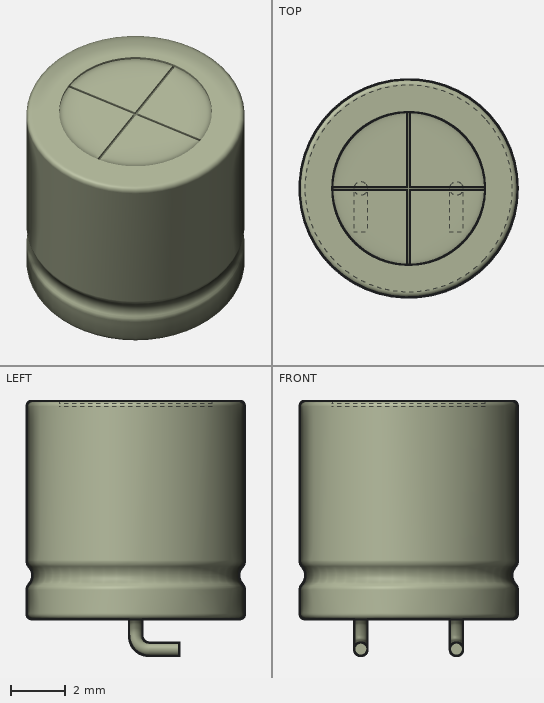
import cadquery as cq
import math

total_height = 9.35
can_diameter = 8.0
can_height = 8.0
can_radius = can_diameter / 2
rim_radius = 0.2

bead_height = 1.61
bead_half_width = 0.53
throat_radius = 0.5
lip_radius = 0.3

recess_diameter = 5.6
recess_depth = 0.1
score_width = 0.1
score_depth = 0.1

lead_diameter = 0.5
lead_spacing = 3.51
lead_reach = 1.6
bend_radius = 0.5
lead_drop = total_height - can_height - lead_diameter / 2


def make_can():
    """Solid can with rounded rims."""
    return cq.Workplane("XY").circle(can_radius).extrude(can_height).edges().fillet(rim_radius)


def make_bead_cutter():
    """Ring whose inner side is a throat arc tangent to two lip arcs."""
    angle = math.asin(bead_half_width / (throat_radius + lip_radius))
    lip_center = can_radius - lip_radius
    throat_center = lip_center + (throat_radius + lip_radius) * math.cos(angle)
    clear_radius = can_radius + throat_radius

    join_x = lip_center + lip_radius * math.cos(angle)
    join_z = bead_half_width - lip_radius * math.sin(angle)
    lip_mid_x = lip_center + lip_radius * math.cos(angle / 2)
    lip_mid_z = bead_half_width - lip_radius * math.sin(angle / 2)

    return (
        cq.Workplane("XZ", origin=(0, 0, bead_height))
        .moveTo(clear_radius, bead_half_width)
        .lineTo(can_radius, bead_half_width)
        .threePointArc((lip_mid_x, lip_mid_z), (join_x, join_z))
        .threePointArc((throat_center - throat_radius, 0), (join_x, -join_z))
        .threePointArc((lip_mid_x, -lip_mid_z), (can_radius, -bead_half_width))
        .lineTo(clear_radius, -bead_half_width)
        .close()
        .revolve(360, (0, 0, 0), (0, 1, 0))
    )


def make_vent_cutter():
    """Shallow round recess with a cross scored into its floor."""
    recess_floor = can_height - recess_depth
    recess = (
        cq.Workplane("XY", origin=(0, 0, recess_floor))
        .circle(recess_diameter / 2)
        .extrude(recess_depth)
    )
    score_plane = cq.Workplane("XY", origin=(0, 0, recess_floor - score_depth))
    score_total = recess_depth + score_depth
    along_x = score_plane.rect(recess_diameter, score_width).extrude(score_total)
    along_y = score_plane.rect(score_width, recess_diameter).extrude(score_total)
    round_limit = score_plane.circle(recess_diameter / 2).extrude(score_total)
    return recess.union(along_x.union(along_y).intersect(round_limit))


def make_lead(x):
    """Round wire leaving the can base and bending toward -Y."""
    bend_offset = bend_radius * (1 - math.sqrt(0.5))
    path = (
        cq.Workplane("YZ", origin=(x, 0, 0))
        .moveTo(0, 0)
        .lineTo(0, bend_radius - lead_drop)
        .threePointArc(
            (-bend_offset, bend_offset - lead_drop),
            (-bend_radius, -lead_drop),
        )
        .lineTo(-lead_reach, -lead_drop)
    )
    return cq.Workplane("XY", origin=(x, 0, 0)).circle(lead_diameter / 2).sweep(path)


result = make_can().cut(make_bead_cutter()).cut(make_vent_cutter())
for side in (-1, 1):
    result = result.union(make_lead(side * lead_spacing / 2))